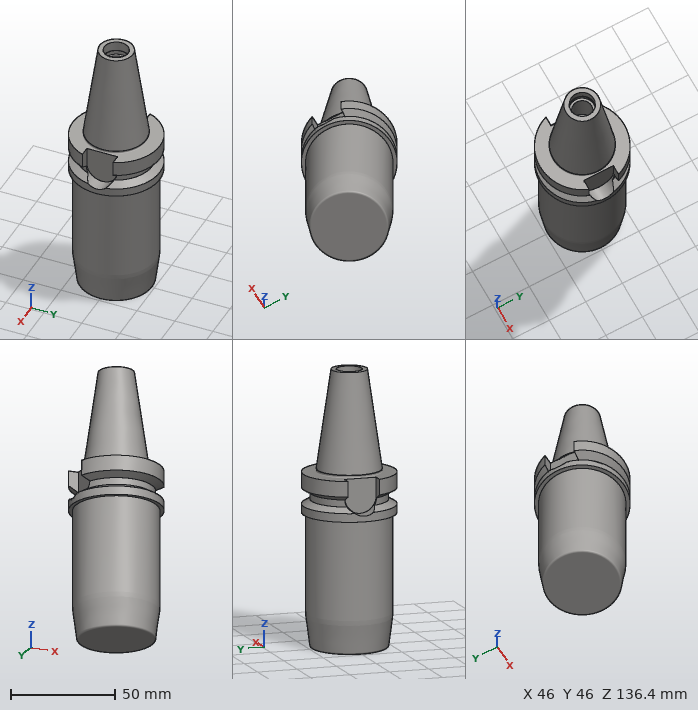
import cadquery as cq
import math


gauge_diameter = 31.75
taper_length = 48.4
taper_ratio = 7 / 24
small_end_diameter = gauge_diameter - taper_ratio * taper_length
neck_diameter = 31.3
taper_overrun = 0.4
neck_root_fillet = 0.5

flange_diameter = 45.98
flange_top_z = -2.0
flange_bottom_z = -22.0
groove_diameter = 37.9
groove_floor_width = 3.45
groove_centre_z = -13.7
groove_flank_angle = math.radians(30)

body_diameter = 42.0
nose_tip_z = -88.0
nose_length = 17.0
nose_angle = math.radians(7.5)
nose_blend_length = 2.5
nose_tip_fillet = 1.0

slot_width = 16.1
slot_floor_to_axis = 16.3
slot_depth = 17.2

bore_diameter = 12.51
bore_depth = 7.4
relief_diameter = 12.91
relief_width = 2.3
thread_core_diameter = 10.25
thread_core_depth = 24.0
drill_point_angle = math.radians(118)


def revolve_about_axis(half_section):
    """Close a half section drawn as (radius, Z) and revolve it about the part's axis."""
    return half_section.close().revolve(360, (0, 0), (0, 1))


def make_turned_body():
    """Revolve the half section of taper, neck, flange, body and nose."""
    taper_end_z = -taper_overrun
    taper_end_radius = (gauge_diameter + taper_ratio * taper_overrun) / 2
    neck_radius = neck_diameter / 2
    neck_flank = taper_end_radius - neck_radius
    root_offset = neck_root_fillet * (1 - math.cos(math.pi / 4))

    flange_radius = flange_diameter / 2
    groove_radius = groove_diameter / 2
    half_floor = groove_floor_width / 2
    half_mouth = half_floor + (flange_radius - groove_radius) * math.tan(groove_flank_angle)

    body_radius = body_diameter / 2
    nose_top_z = nose_tip_z + nose_length
    blend_radius = nose_blend_length / math.sin(nose_angle)
    blend_middle_z = nose_top_z - blend_radius * math.sin(nose_angle / 2)
    blend_middle_radius = body_radius - blend_radius * (1 - math.cos(nose_angle / 2))
    cone_top_z = nose_top_z - nose_blend_length
    cone_top_radius = body_radius - blend_radius * (1 - math.cos(nose_angle))
    cone_bottom_z = nose_tip_z + nose_tip_fillet * (1 - math.sin(nose_angle))
    cone_bottom_radius = cone_top_radius - (cone_top_z - cone_bottom_z) * math.tan(nose_angle)
    fillet_centre_radius = cone_bottom_radius - nose_tip_fillet * math.cos(nose_angle)
    fillet_middle_angle = (nose_angle + math.pi / 2) / 2
    fillet_middle = (
        fillet_centre_radius + nose_tip_fillet * math.cos(fillet_middle_angle),
        nose_tip_z + nose_tip_fillet * (1 - math.sin(fillet_middle_angle)),
    )

    half_section = (
        cq.Workplane("XZ")
        .moveTo(0, taper_length)
        .lineTo(small_end_diameter / 2, taper_length)
        .lineTo(taper_end_radius, taper_end_z)
        .lineTo(neck_radius, taper_end_z - neck_flank)
        .lineTo(neck_radius, flange_top_z + neck_root_fillet)
        .threePointArc(
            (neck_radius + root_offset, flange_top_z + root_offset),
            (neck_radius + neck_root_fillet, flange_top_z),
        )
        .lineTo(flange_radius, flange_top_z)
        .lineTo(flange_radius, groove_centre_z + half_mouth)
        .lineTo(groove_radius, groove_centre_z + half_floor)
        .lineTo(groove_radius, groove_centre_z - half_floor)
        .lineTo(flange_radius, groove_centre_z - half_mouth)
        .lineTo(flange_radius, flange_bottom_z)
        .lineTo(body_radius, flange_bottom_z)
        .lineTo(body_radius, nose_top_z)
        .threePointArc((blend_middle_radius, blend_middle_z), (cone_top_radius, cone_top_z))
        .lineTo(cone_bottom_radius, cone_bottom_z)
        .threePointArc(fillet_middle, (fillet_centre_radius, nose_tip_z))
        .lineTo(0, nose_tip_z)
    )
    return revolve_about_axis(half_section)


def make_drive_slot(side):
    """Round-bottomed slot cutter on the +X (side = 1) or -X (side = -1) flank."""
    half_width = slot_width / 2
    slot_bottom_z = flange_top_z - slot_depth
    arc_centre_z = slot_bottom_z + half_width
    cut_length = flange_diameter / 2
    return (
        cq.Workplane("YZ", origin=(side * slot_floor_to_axis, 0, 0))
        .moveTo(-half_width, flange_top_z)
        .lineTo(-half_width, arc_centre_z)
        .threePointArc((0, slot_bottom_z), (half_width, arc_centre_z))
        .lineTo(half_width, flange_top_z)
        .close()
        .extrude(side * cut_length)
    )


def make_drawbar_bore():
    """Stepped blind hole with a relief at its shoulder and a conical bottom, sunk from the small end."""
    bore_radius = bore_diameter / 2
    relief_radius = relief_diameter / 2
    core_radius = thread_core_diameter / 2
    shoulder_z = taper_length - bore_depth
    relief_top_z = shoulder_z + relief_width
    core_bottom_z = taper_length - thread_core_depth
    point_z = core_bottom_z - core_radius / math.tan(drill_point_angle / 2)
    half_section = cq.Workplane("XZ").polyline(
        [
            (0, taper_length),
            (bore_radius, taper_length),
            (bore_radius, relief_top_z),
            (relief_radius, relief_top_z),
            (relief_radius, shoulder_z),
            (core_radius, shoulder_z),
            (core_radius, core_bottom_z),
            (0, point_z),
        ]
    )
    return revolve_about_axis(half_section)


result = make_turned_body().cut(make_drawbar_bore())
for side in (-1, 1):
    result = result.cut(make_drive_slot(side))